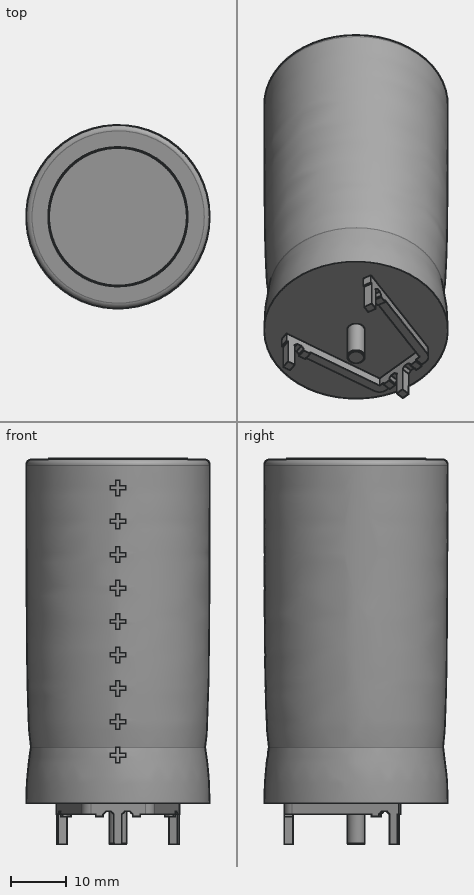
import cadquery as cq
import math

TOTAL_HEIGHT = 69.4
CAN_RADIUS = 16.5
CAN_BASE_Z = 7.35
NECK_RADIUS = 15.7
NECK_Z = 17.5
SKIRT_RADIUS = 16.2
SKIRT_Z = 13.9
NECK_FLARE_RADIUS = 16.1
NECK_FLARE_Z = 22.2
MID_RADIUS = 16.3
MID_Z = 29.15
BODY_RADIUS = 16.45
BODY_Z = 41.65
RIM_FILLET = 1.05
TOP_DISC_RADIUS = 12.55
TOP_DISC_HEIGHT = 0.2
CENTER_POST_RADIUS = 1.6
CENTER_POST_CHAMFER = 0.2

MARK_COUNT = 9
MARK_FIRST_Z = 16.0
MARK_LAST_Z = 64.05
MARK_SPAN = 2.8
MARK_ARM_WIDTH = 0.7
MARK_DEPTH = 0.1
MARK_PITCH = (MARK_LAST_Z - MARK_FIRST_Z) / (MARK_COUNT - 1)

BRACKET_HEIGHT = 1.95
WALL_THICKNESS = 1.6
FRONT_Y = -12.9
FRONT_HALF_WIDTH = 6.25
REAR_HALF_WIDTH = 11.1
REAR_Y = 7.7
CORNER_RADIUS = 1.75
PIN_WIDTH = 1.45
PIN_REAR_MARGIN = 0.31
FOOT_INNER = 2.65
FOOT_OUTER = 4.0
FOOT_HEIGHT = 0.4
NOTCH_HEIGHT = 0.52

BRACKET_BASE_Z = CAN_BASE_Z - BRACKET_HEIGHT
ARM_DX = REAR_HALF_WIDTH - FRONT_HALF_WIDTH
ARM_DY = REAR_Y - FRONT_Y
ARM_LENGTH = math.hypot(ARM_DX, ARM_DY)
ARM_TILT = math.atan2(ARM_DX, ARM_DY)


def can_solid(inset=0.0):
    """Can without its post; inset moves the side wall inward."""
    rim_z = TOTAL_HEIGHT - TOP_DISC_HEIGHT
    shoulder_z = rim_z - RIM_FILLET
    wall = CAN_RADIUS - inset
    neck = (NECK_RADIUS - inset, NECK_Z)
    diagonal = RIM_FILLET * math.sqrt(0.5)
    return (
        cq.Workplane("XZ")
        .moveTo(0, CAN_BASE_Z)
        .lineTo(wall, CAN_BASE_Z)
        .spline([(SKIRT_RADIUS - inset, SKIRT_Z), neck], includeCurrent=True)
        .spline(
            [
                (NECK_FLARE_RADIUS - inset, NECK_FLARE_Z),
                (MID_RADIUS - inset, MID_Z),
                (BODY_RADIUS - inset, BODY_Z),
                (wall, shoulder_z),
            ],
            tangents=[(0.2, 1), (0, 1)],
            includeCurrent=True,
        )
        .threePointArc(
            (wall - RIM_FILLET + diagonal, shoulder_z + diagonal),
            (wall - RIM_FILLET, rim_z),
        )
        .lineTo(TOP_DISC_RADIUS, rim_z)
        .lineTo(TOP_DISC_RADIUS - TOP_DISC_HEIGHT, TOTAL_HEIGHT)
        .lineTo(0, TOTAL_HEIGHT)
        .close()
        .revolve(360, (0, 0, 0), (0, 1, 0))
    )


def plus_signs():
    """Row of plus-shaped prisms reaching outward from the can axis to -Y."""
    centers = [(0, MARK_FIRST_Z + i * MARK_PITCH) for i in range(MARK_COUNT)]
    plane = cq.Workplane("XZ").pushPoints(centers)
    upright = plane.rect(MARK_ARM_WIDTH, MARK_SPAN).extrude(CAN_RADIUS)
    crossbar = plane.rect(MARK_SPAN, MARK_ARM_WIDTH).extrude(CAN_RADIUS)
    return upright.union(crossbar)


def make_can():
    marks = plus_signs().cut(can_solid(MARK_DEPTH))
    post = (
        cq.Workplane("XY")
        .circle(CENTER_POST_RADIUS)
        .extrude(CAN_BASE_Z)
        .faces("<Z")
        .chamfer(CENTER_POST_CHAMFER)
    )
    return can_solid().cut(marks).union(post)


def bracket_wall():
    """U-shaped wall: a front bar and two arms that spread toward the rear."""
    inner_shift = WALL_THICKNESS / math.tan((math.pi / 2 + ARM_TILT) / 2)
    inner_rear = (
        REAR_HALF_WIDTH - WALL_THICKNESS * math.cos(ARM_TILT),
        REAR_Y + WALL_THICKNESS * math.sin(ARM_TILT),
    )
    right_side = [
        (FRONT_HALF_WIDTH, FRONT_Y),
        (REAR_HALF_WIDTH, REAR_Y),
        inner_rear,
        (FRONT_HALF_WIDTH - inner_shift, FRONT_Y + WALL_THICKNESS),
    ]
    left_side = [(-x, y) for x, y in reversed(right_side)]
    wall = (
        cq.Workplane("XY")
        .workplane(offset=BRACKET_BASE_Z)
        .polyline(right_side + left_side)
        .close()
        .extrude(BRACKET_HEIGHT)
    )
    front_corners = wall.faces("<Y").edges("|Z")
    return front_corners.fillet(CORNER_RADIUS)


def wall_prism(outline):
    """Outline in X and Z, one wall thick, with its outer face on Y = 0."""
    return outline.close().extrude(-WALL_THICKNESS)


def pin():
    outline = cq.Workplane("XZ").moveTo(-PIN_WIDTH / 2, 0).lineTo(PIN_WIDTH / 2, 0)
    outline = outline.lineTo(PIN_WIDTH / 2, CAN_BASE_Z).lineTo(-PIN_WIDTH / 2, CAN_BASE_Z)
    return wall_prism(outline)


def foot(side):
    """Low standoff beside a pin; side is +1 or -1 along the wall."""
    foot_z = BRACKET_BASE_Z - FOOT_HEIGHT
    outline = cq.Workplane("XZ").moveTo(side * FOOT_INNER, BRACKET_BASE_Z)
    outline = outline.lineTo(side * FOOT_INNER, foot_z).lineTo(side * FOOT_OUTER, foot_z)
    return wall_prism(outline.lineTo(side * FOOT_OUTER, BRACKET_BASE_Z))


def notch(side):
    """Relief between a pin and its foot, with both flanks sloped at 45 degrees."""
    pin_edge = PIN_WIDTH / 2
    top_z = BRACKET_BASE_Z + NOTCH_HEIGHT
    outline = cq.Workplane("XZ").moveTo(side * pin_edge, BRACKET_BASE_Z)
    outline = outline.lineTo(side * (pin_edge + NOTCH_HEIGHT), top_z)
    outline = outline.lineTo(side * (FOOT_INNER - NOTCH_HEIGHT), top_z)
    return wall_prism(outline.lineTo(side * FOOT_INNER, BRACKET_BASE_Z))


def make_bracket():
    pin_distance = ARM_LENGTH - PIN_REAR_MARGIN - PIN_WIDTH / 2
    side_x = FRONT_HALF_WIDTH + pin_distance * math.sin(ARM_TILT)
    side_y = FRONT_Y + pin_distance * math.cos(ARM_TILT)
    side_turn = 90 - math.degrees(ARM_TILT)
    placements = [
        (0, (0, FRONT_Y, 0), (-1, 1)),
        (side_turn, (side_x, side_y, 0), (-1,)),
        (-side_turn, (-side_x, side_y, 0), (1,)),
    ]
    bracket = bracket_wall()
    for turn, center, sides in placements:
        def place(shape):
            return shape.rotate((0, 0, 0), (0, 0, 1), turn).translate(center)

        bracket = bracket.union(place(pin()))
        for side in sides:
            bracket = bracket.cut(place(notch(side))).union(place(foot(side)))
    return bracket


can = make_can()
bracket = make_bracket()
result = cq.Compound.makeCompound([can.solids().val(), bracket.solids().val()])